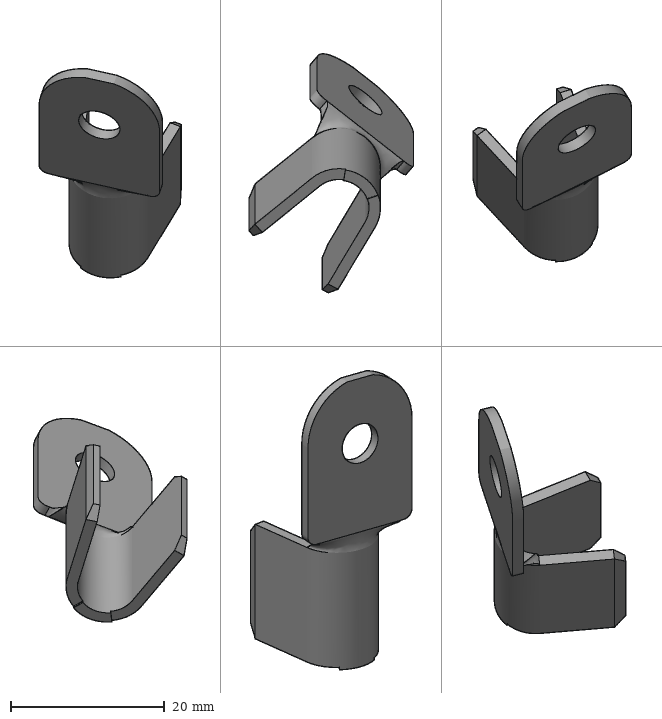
import cadquery as cq
import math

sheet = 1.5

palm_width = 16.3
palm_top = 41.55
palm_bottom = 19.45
palm_corner_radius = 1.33
palm_end_radius = palm_width / 2
palm_end_center_z = 33.65
hole_diameter = 5.55
hole_z = 32.15

barrel_radius = 5.4
barrel_bottom = 0.35
barrel_top = 16.8
wing_angle = 10.0
wing_length = 11.3
wing_tip_length = 1.55
wing_corner_height = 1.65
wing_tip_bevel = 0.6
tab_half_width = 2.75

neck_waist = 0.9
neck_set_back = 0.2
neck_steps = 6

barrel_inner_radius = barrel_radius - sheet
barrel_mid_radius = barrel_radius - sheet / 2
barrel_half_angle = math.radians(90 - wing_angle)
barrel_half_length = barrel_mid_radius * barrel_half_angle


def arc_point(radius, center_y, angle):
    """Point on a circle centred on x = 0; angle 0 is the front of the part."""
    return (radius * math.sin(angle), center_y - radius * math.cos(angle))


def channel_wire(z, half_angle, mid_radius, front_y=0):
    """Closed outline of a bent sheet strip whose front touches y = front_y."""
    outer = mid_radius + sheet / 2
    inner = mid_radius - sheet / 2
    return (
        cq.Workplane("XY", origin=(0, front_y, z))
        .moveTo(*arc_point(outer, outer, -half_angle))
        .threePointArc((0, 0), arc_point(outer, outer, half_angle))
        .lineTo(*arc_point(inner, outer, half_angle))
        .threePointArc((0, sheet), arc_point(inner, outer, -half_angle))
        .close()
        .val()
    )


def flat_wire(z, half_width):
    """Closed outline of the unrolled sheet strip."""
    return cq.Workplane("XY", origin=(0, sheet / 2, z)).rect(2 * half_width, sheet).val()


def make_palm():
    blank = (
        cq.Workplane("XZ")
        .center(0, (palm_bottom + palm_end_center_z) / 2)
        .rect(palm_width, palm_end_center_z - palm_bottom)
        .extrude(-sheet)
        .edges("|Y and <Z")
        .fillet(palm_corner_radius)
    )
    round_end = cq.Workplane("XZ").center(0, palm_end_center_z).circle(palm_end_radius).extrude(-sheet)
    end_height = palm_top - palm_end_center_z
    end_limit = (
        cq.Workplane("XZ")
        .center(0, palm_end_center_z + end_height / 2)
        .rect(palm_width, end_height)
        .extrude(-sheet)
    )
    hole = cq.Workplane("XZ").center(0, hole_z).circle(hole_diameter / 2).extrude(-sheet)
    return blank.union(round_end.intersect(end_limit)).cut(hole)


def make_wing():
    """Right-hand wing, drawn straight along Y and then splayed about the barrel axis."""
    outer_x = barrel_radius
    inner_x = barrel_inner_radius
    tip_start = wing_length - wing_tip_length
    height = barrel_top - barrel_bottom
    wing = (
        cq.Workplane("XY", origin=(0, barrel_radius, barrel_bottom))
        .moveTo(inner_x, 0)
        .lineTo(outer_x, 0)
        .lineTo(outer_x, tip_start)
        .lineTo(outer_x - wing_tip_bevel, wing_length)
        .lineTo(inner_x, wing_length)
        .close()
        .extrude(height)
    )
    side_outline = (
        cq.Workplane("YZ", origin=(0, barrel_radius, barrel_bottom))
        .moveTo(0, 0)
        .lineTo(tip_start, 0)
        .lineTo(wing_length, wing_corner_height)
        .lineTo(wing_length, height - wing_corner_height)
        .lineTo(tip_start, height)
        .lineTo(0, height)
        .close()
        .extrude(2 * barrel_radius)
    )
    axis_base = (0, barrel_radius, 0)
    axis_end = (0, barrel_radius, 1)
    return wing.intersect(side_outline).rotate(axis_base, axis_end, -wing_angle)


def make_barrel():
    curved = cq.Workplane(
        cq.Solid.extrudeLinear(
            channel_wire(barrel_bottom, barrel_half_angle, barrel_mid_radius),
            [],
            cq.Vector(0, 0, barrel_top - barrel_bottom),
        )
    )
    wing = make_wing()
    return curved.union(wing).union(wing.mirror("YZ"))


def make_tab():
    """Cut-off tab below the middle of the barrel."""
    half_angle = math.asin(tab_half_width / barrel_radius)
    wire = channel_wire(0, half_angle, barrel_mid_radius)
    return cq.Workplane(cq.Solid.extrudeLinear(wire, [], cq.Vector(0, 0, barrel_bottom)))


def make_neck():
    """Strip that unrolls from the barrel to flat; halfway up it is narrowest and set furthest back."""
    height = palm_bottom - barrel_top
    wires = []
    for step in range(neck_steps):
        t = step / neck_steps
        ease = t * t * (3 - 2 * t)
        bow = 4 * t * (1 - t)
        half_angle = barrel_half_angle * (1 - ease)
        half_length = barrel_half_length - neck_waist * bow
        front_y = neck_set_back * bow
        wires.append(channel_wire(barrel_top + t * height, half_angle, half_length / half_angle, front_y))
    wires.append(flat_wire(palm_bottom, barrel_half_length))
    return cq.Workplane(cq.Solid.makeLoft(wires))


result = make_palm().union(make_neck()).union(make_barrel()).union(make_tab())